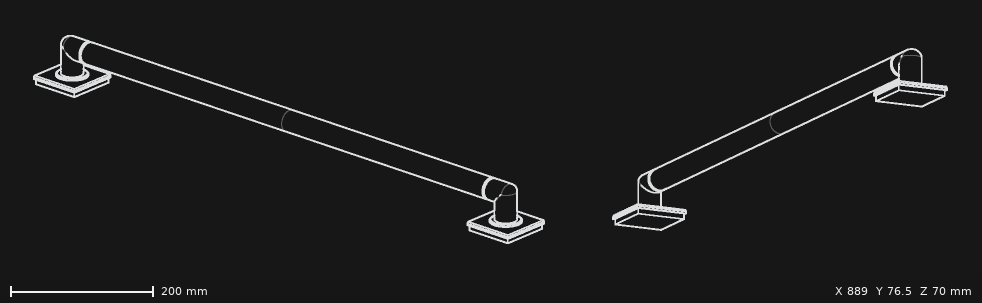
import cadquery as cq

overall_length = 889.0
overall_height = 70.0
plate_size = 76.5
tube_diameter = 32.0

foot_inset = 2.2
foot_height = 8.0
cover_height = 5.0
bevel_height = 3.0
bevel_inset = 1.0

collar_diameter = 46.0
collar_height = 3.0
collar_chamfer = 2.0

elbow_radius = 12.0
elbow_reach = 28.5
joint_width = 3.0
joint_depth = 1.0

tube_radius = tube_diameter / 2
post_offset = (overall_length - plate_size) / 2
rail_height = overall_height - tube_radius
plate_top = foot_height + cover_height

pivot_shift = tube_radius - elbow_radius
pivot_x = -post_offset - pivot_shift
pivot_z = rail_height + pivot_shift


def wall_plate():
    """Square plate with its collar, under the left post."""
    foot_size = plate_size - 2 * foot_inset
    foot = (
        cq.Workplane("XY", origin=(-post_offset, 0, 0))
        .rect(foot_size, foot_size)
        .extrude(foot_height)
    )
    cover_rim = (
        cq.Workplane("XY", origin=(-post_offset, 0, foot_height))
        .rect(plate_size, plate_size)
        .extrude(cover_height - bevel_height)
    )
    cover_bevel = (
        cover_rim.faces(">Z")
        .workplane()
        .rect(plate_size, plate_size)
        .workplane(offset=bevel_height)
        .rect(plate_size - 2 * bevel_inset, plate_size - 2 * bevel_inset)
        .loft(combine=False)
    )
    collar = (
        cq.Workplane("XY", origin=(-post_offset, 0, plate_top))
        .circle(collar_diameter / 2)
        .extrude(collar_height)
        .faces(">Z")
        .edges()
        .chamfer(collar_chamfer)
    )
    return foot.union(cover_rim).union(cover_bevel).union(collar)


def mitred_tube():
    """Left post and left half of the rail, meeting in a sharp mitre."""
    path = (
        cq.Workplane("XZ")
        .moveTo(-post_offset, foot_height)
        .lineTo(-post_offset, rail_height)
        .lineTo(0, rail_height)
    )
    return (
        cq.Workplane("XY", origin=(-post_offset, 0, foot_height))
        .circle(tube_radius)
        .sweep(path, transition="right")
    )


def sharp_corner():
    """Block holding the part of the mitre outside the corner axis."""
    block_origin = (pivot_x - tube_diameter, 0, pivot_z)
    return cq.Workplane("XY", origin=block_origin).box(
        tube_diameter, tube_diameter, tube_diameter, centered=(False, True, False)
    )


def rounded_corner():
    """Outer slice of the post section, turned a quarter about the corner axis."""
    half_chord = (tube_radius**2 - pivot_shift**2) ** 0.5
    return (
        cq.Workplane("XY", origin=(pivot_x, 0, pivot_z))
        .moveTo(0, half_chord)
        .threePointArc((-elbow_radius, 0), (0, -half_chord))
        .close()
        .revolve(90, (0, 0, 0), (0, 1, 0))
    )


def joint_groove():
    """Shallow ring around the rail where the elbow ends."""
    joint_x = -post_offset + elbow_reach
    return (
        cq.Workplane("YZ", origin=(joint_x - joint_width / 2, 0, rail_height))
        .circle(tube_radius)
        .circle(tube_radius - joint_depth)
        .extrude(joint_width)
    )


left_tube = mitred_tube().cut(sharp_corner()).union(rounded_corner()).cut(joint_groove())
left_half = left_tube.union(wall_plate())
result = left_half.union(left_half.mirror("YZ"))